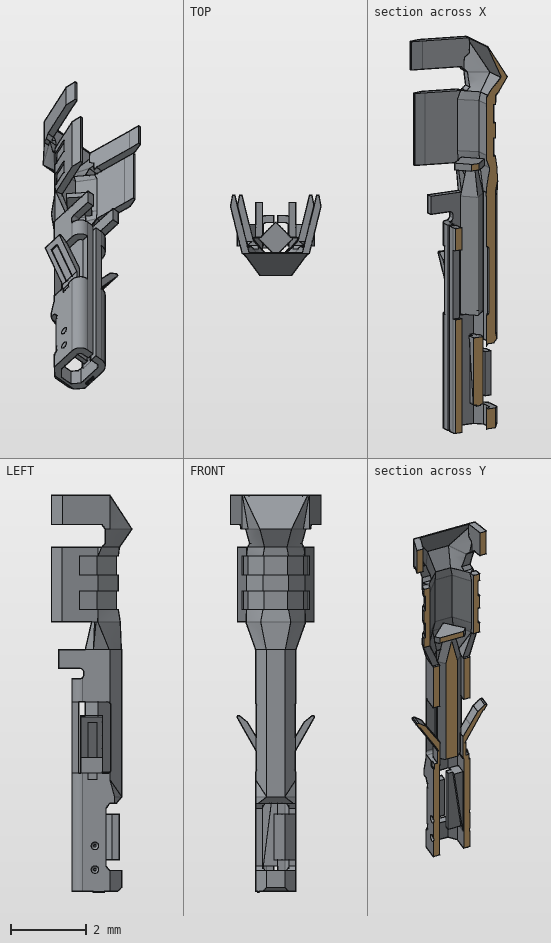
import cadquery as cq
import math

SHEET = 0.19
OVERLAP = 0.02
CUT_HALF = 2.0

Z_BOTTOM = 0.03
Z_RING_TOP = 0.59
Z_TROUGH_END = 2.37
Z_TROUGH_HIGH = 2.54
Z_GUSSET_TOP = 3.0
Z_LEAF_TOP = 2.6
Z_WINDOW_LOW = 3.17
Z_WINDOW_HIGH = 5.06
Z_FLAPS_TOP = 5.68
Z_TAB_LOW = 5.95
Z_BOX_TOP = 6.45
Z_CRIMP_LOW = 7.19
Z_GRIP_LOW = 7.52
Z_GRIP_HIGH = 8.93
Z_CRIMP_HIGH = 9.17
Z_RIDGE = 9.65
Z_FLARE_WING_LOW = 9.77
Z_TOP = 10.55

BOX_HALF = 0.537
BOX_Y = 0.664
BOX_FLAT_HALF = 0.24
BOX_BEND_Y = -0.347
BACK_RADIUS = 0.29
TAB_Y = 1.014
SEAM_GAP = 0.1
INNER_HALF = BOX_HALF - SHEET
CORNER_SHIFT = 0.4

NOTCH_Y = 0.35
NOTCH_FILLET = 0.1
WINDOW_Y = (-0.366, 0.46)
WINDOW_FILLET = 0.08
OPENING_Y = -0.246
OPENING_EDGE_Y = -0.34
OPENING_CHAMFER_LOW = 0.11
OPENING_CHAMFER_HIGH = 0.14
TROUGH_END_Y = -0.52
GUSSET_CORNER_Y = -0.47
LEAD_IN = 0.11

PAD_Z = (0.865, 2.08)
PAD_Y = -0.596
PAD_EDGE_X = -0.04
PAD_ROOT_Y = (-0.28, -0.2)
PAD_INNER_BEND_X = 0.17

BOX_FOLD = [(BOX_HALF, 0.09), (BOX_HALF, -0.326), (0.254, -0.655)]
FUNNEL_TOP_FOLD = [(0.80, 0.02), (0.789, -0.028), (0.40, -0.624)]
CRIMP_LOW_FOLD = FUNNEL_TOP_FOLD[1:]
GRIP_FOLD = [(0.78, -0.028), (0.338, -0.572)]
CRIMP_HIGH_FOLD = [(0.745, -0.13), (0.298, -0.604)]
RIDGE_FOLD = [(0.80, -0.22), (0.42, -0.935)]
TOP_FOLD = [(0.894, -0.347), (0.85, -0.349)]
LIP_THICKNESS = 0.03

WING_TIP_Y = 1.205
WING_SLOPE = 0.248
CONDUCTOR_SHOULDER_Y = 0.93
INSULATION_SHOULDER_Y = 0.906
NECK_BEVEL = 0.1
TIP_HALF_WIDTH = 0.033
TIP_INSET = 0.09

GROOVE_SPANS = [(Z_GRIP_LOW, 8.006), (8.435, Z_GRIP_HIGH)]
GROOVE_DEPTH = 0.045
GROOVE_END_Y = 0.457

LANCE_Y = (-0.147, 0.43)
LANCE_BEND = (-0.42, 3.58)
LANCE_CORNER = (-1.033, 4.66)
LANCE_TIP = [(-0.755, 4.53), (-0.96, 4.695), (-1.01, 4.70)]
LANCE_WALL_Z = 4.165
LANCE_INNER_Z = 3.82
LANCE_ROOT = 0.1
LANCE_GROOVE_Y = (0.0, 0.23)
LANCE_GROOVE_Z = (3.0, 4.51)
LANCE_GROOVE_DEPTH = 0.03

CORE_Y = -0.03
CORE_HALF = 0.34
CORE_TOP_HALF = 0.17
CORE_LOW = 3.2
STOP_Y = 0.04
STOP_HALF = 0.45

LEAF_Y = (-0.2, 0.1)
LEAF_FOOT_X = (-0.48, -0.44)
LEAF_LOW_EDGE = (-0.33, 0.7)
LEAF_HIGH_X = -0.09
BACKING_Y = (-0.12, 0.0)
BACKING_EDGE_X = 0.05

DIMPLE_Y = 0.05
DIMPLE_HEIGHTS = [0.61, 1.24]
DIMPLE_RADIUS = 0.1
DIMPLE_TIP_RADIUS = 0.033
DIMPLE_DEPTH = 0.08


def prism(points, low, high):
    """Extrude an (x, y) outline between two heights."""
    return cq.Workplane("XY").workplane(offset=low).polyline(points).close().extrude(high - low)


def side_prism(points, x_low, x_high):
    """Extrude a (y, z) outline along X."""
    return cq.Workplane("YZ").workplane(offset=x_low).polyline(points).close().extrude(x_high - x_low)


def front_prism(points, y_low, y_high):
    """Extrude an (x, z) outline along Y."""
    return cq.Workplane("XZ").workplane(offset=-y_high).polyline(points).close().extrude(y_high - y_low)


def block(x_span, y_span, z_span):
    (x0, x1), (y0, y1), (z0, z1) = x_span, y_span, z_span
    return cq.Workplane("XY").box(x1 - x0, y1 - y0, z1 - z0, centered=False).translate((x0, y0, z0))


def both_sides(shape):
    return shape.union(shape.mirror("YZ"))


def mirrored(points):
    """Close a right-half path with its mirror image across X = 0."""
    return points + [(-x, y) for x, y in reversed(points)]


def inner_path(path, thickness):
    """Right-half path moved inward by the sheet thickness, with mitred corners."""
    full = path + [(0, path[-1][1])]
    normals = []
    for (x0, y0), (x1, y1) in zip(full, full[1:]):
        length = math.hypot(x1 - x0, y1 - y0)
        normals.append(((y1 - y0) / length, (x0 - x1) / length))
    corners = []
    for index, (x, y) in enumerate(path):
        nx, ny = normals[index]
        px, py = normals[max(index - 1, 0)]
        reach = thickness / (1 + nx * px + ny * py)
        corners.append((x + reach * (nx + px), y + reach * (ny + py)))
    return corners


def fold_outline(path, thickness=SHEET):
    """Closed outline of a folded sheet: outer face, then inner face."""
    inner = mirrored(inner_path(path, thickness))
    return mirrored(path) + inner[::-1]


def folded(low_path, high_path, z_low, z_high, high_thickness=SHEET):
    """Folded sheet that changes evenly from one section to another."""
    base = cq.Workplane("XY").workplane(offset=z_low).polyline(fold_outline(low_path)).close()
    top = base.workplane(offset=z_high - z_low)
    top = top.polyline(fold_outline(high_path, high_thickness)).close()
    return top.loft(ruled=True)


def box_outline(inset):
    """Contact box section: flat front, bevelled front corners, round back corners."""
    half = BOX_HALF - inset
    back = BOX_Y - inset
    radius = BACK_RADIUS - inset
    bevel_shift = CORNER_SHIFT * inset
    outline = cq.Workplane("XY").workplane(offset=Z_BOTTOM)
    return (
        outline.moveTo(BOX_FLAT_HALF - bevel_shift, -back)
        .lineTo(half, BOX_BEND_Y + bevel_shift)
        .lineTo(half, back - radius)
        .radiusArc((half - radius, back), -radius)
        .lineTo(radius - half, back)
        .radiusArc((-half, back - radius), -radius)
        .lineTo(-half, BOX_BEND_Y + bevel_shift)
        .lineTo(bevel_shift - BOX_FLAT_HALF, -back)
        .close()
    )


def make_corner_gussets():
    """Fills that square off the bevelled corners just above the front opening."""
    bevel = [(BOX_FLAT_HALF, -BOX_Y), (BOX_HALF, GUSSET_CORNER_Y), (BOX_HALF, BOX_BEND_Y)]
    straight = prism(bevel, Z_TROUGH_END, Z_TROUGH_HIGH)
    flat_end, square, bend = [cq.Vector(x, y, Z_TROUGH_HIGH) for x, y in bevel]
    apex = cq.Vector(BOX_HALF, BOX_BEND_Y, Z_GUSSET_TOP)
    sides = [
        [flat_end, square, bend],
        [flat_end, square, apex],
        [square, bend, apex],
        [bend, flat_end, apex],
    ]
    faces = [cq.Face.makeFromWires(cq.Wire.makePolygon(side, close=True)) for side in sides]
    peak = cq.Solid.makeSolid(cq.Shell.makeShell(faces))
    return both_sides(straight.union(cq.Workplane(peak)))


def make_box():
    """Contact box with a back seam, two side windows and the open front."""
    height = Z_BOX_TOP - Z_BOTTOM
    box = box_outline(0).extrude(height).cut(box_outline(SHEET).extrude(height))
    wide = (-CUT_HALF, CUT_HALF)
    seam = (-SEAM_GAP / 2, SEAM_GAP / 2)
    back_start = BOX_Y - BACK_RADIUS - OVERLAP
    box = box.cut(block(wide, (back_start, TAB_Y), (Z_FLAPS_TOP, Z_BOX_TOP)))
    box = box.cut(block(seam, (0, BOX_Y), (Z_BOTTOM, Z_BOX_TOP)))

    tab = block((INNER_HALF, BOX_HALF), (back_start - SHEET, TAB_Y), (Z_FLAPS_TOP, Z_BOX_TOP))
    notch = block(wide, (NOTCH_Y, TAB_Y + NOTCH_FILLET), (Z_FLAPS_TOP, Z_TAB_LOW))
    box = box.union(both_sides(tab)).cut(notch.edges("|X and <Y").fillet(NOTCH_FILLET))

    window_z = (Z_WINDOW_LOW, Z_WINDOW_HIGH)
    box = box.cut(block(wide, WINDOW_Y, window_z).edges("|X and <Y").fillet(WINDOW_FILLET))
    corner_x = (BOX_HALF - BACK_RADIUS, BOX_HALF + OVERLAP)
    back_corner = block(corner_x, (back_start, BOX_Y + OVERLAP), window_z)
    box = box.cut(both_sides(back_corner)).union(make_corner_gussets())
    return box.cut(make_front_opening()).cut(make_lead_in())


def make_front_opening():
    """Cut across the front of the box, with a bevelled lip above it."""
    outside_y = -BOX_Y - OVERLAP
    outline = [
        (outside_y, Z_RING_TOP),
        (OPENING_EDGE_Y, Z_RING_TOP),
        (OPENING_Y, Z_RING_TOP + OPENING_CHAMFER_LOW),
        (OPENING_Y, Z_TROUGH_END - OPENING_CHAMFER_HIGH),
        (OPENING_EDGE_Y, Z_TROUGH_END),
        (TROUGH_END_Y, Z_TROUGH_END),
        (-BOX_Y, Z_TROUGH_HIGH),
        (outside_y, Z_TROUGH_HIGH),
    ]
    return side_prism(outline, -CUT_HALF, CUT_HALF)


def make_lead_in():
    """Bevel on the front bottom edge of the box."""
    outline = [(-BOX_Y, Z_BOTTOM), (LEAD_IN - BOX_Y, Z_BOTTOM), (-BOX_Y, Z_BOTTOM + LEAD_IN)]
    return side_prism(outline, -CUT_HALF, CUT_HALF)


def make_front_pad():
    """Tongue folded from the right wall across the front opening."""
    root_front, root_back = PAD_ROOT_Y
    outline = [
        (PAD_EDGE_X, PAD_Y),
        (BOX_FLAT_HALF, PAD_Y),
        (BOX_HALF, root_front),
        (BOX_HALF, root_back),
        (INNER_HALF, root_back),
        (PAD_INNER_BEND_X, PAD_Y + SHEET),
        (PAD_EDGE_X, PAD_Y + SHEET),
    ]
    return prism(outline, *PAD_Z)


def make_lances():
    """Locking lances that spring out of the windows."""
    bend_x = LANCE_BEND[0]
    inner_x = OVERLAP - INNER_HALF
    outline = [
        LANCE_CORNER,
        LANCE_BEND,
        (bend_x, Z_WINDOW_LOW - LANCE_ROOT),
        (inner_x, Z_WINDOW_LOW - LANCE_ROOT),
        (inner_x, LANCE_INNER_Z),
        (-BOX_HALF, LANCE_WALL_Z),
    ]
    return both_sides(front_prism(outline + LANCE_TIP, *LANCE_Y))


def make_lance_grooves():
    """Narrow stiffening groove on each lance, running on into the wall below it."""
    z_low, z_high = LANCE_GROOVE_Z
    wall = block(
        (-BOX_HALF - OVERLAP, -BOX_HALF + LANCE_GROOVE_DEPTH), LANCE_GROOVE_Y, (z_low, Z_WINDOW_LOW)
    )
    lance_x, lance_z = LANCE_BEND
    corner_x, corner_z = LANCE_CORNER
    run = (corner_x - lance_x) / (corner_z - lance_z)
    high_x = lance_x + run * (z_high - lance_z)
    face = [
        (lance_x + LANCE_GROOVE_DEPTH, lance_z),
        (high_x + LANCE_GROOVE_DEPTH, z_high),
        (high_x - LANCE_GROOVE_DEPTH, z_high),
        (lance_x - LANCE_GROOVE_DEPTH, lance_z),
    ]
    return both_sides(wall.union(front_prism(face, *LANCE_GROOVE_Y)))


def make_dimples():
    """Conical dimples in both side walls."""
    dimples = cq.Workplane("XY")
    for height in DIMPLE_HEIGHTS:
        cone = cq.Solid.makeCone(
            DIMPLE_RADIUS,
            DIMPLE_TIP_RADIUS,
            DIMPLE_DEPTH,
            cq.Vector(-BOX_HALF, DIMPLE_Y, height),
            cq.Vector(1, 0, 0),
        )
        dimples = dimples.add(both_sides(cq.Workplane(cone)).vals())
    return dimples.combine()


def wing(root, shoulder_y, z_low, z_high):
    """Pair of slanted crimp wings with pointed tips, rising from the given outer root."""
    root_x, root_y = root
    shoulder_x = root_x + WING_SLOPE * (shoulder_y - root_y)
    tip_x = shoulder_x - TIP_INSET
    outline = [
        root,
        (shoulder_x, shoulder_y),
        (tip_x + TIP_HALF_WIDTH, WING_TIP_Y),
        (tip_x - TIP_HALF_WIDTH, WING_TIP_Y),
        (shoulder_x - SHEET, shoulder_y),
        (root_x - SHEET, root_y),
    ]
    return both_sides(prism(outline, z_low, z_high))


def make_barrel():
    """Funnel, conductor crimp, neck and flare, section by section."""
    barrel = folded(BOX_FOLD, FUNNEL_TOP_FOLD, Z_BOX_TOP, Z_CRIMP_LOW)
    sections = [
        (Z_CRIMP_LOW, CRIMP_LOW_FOLD),
        (Z_GRIP_LOW, GRIP_FOLD),
        (Z_GRIP_HIGH, GRIP_FOLD),
        (Z_CRIMP_HIGH, CRIMP_HIGH_FOLD),
        (Z_RIDGE, RIDGE_FOLD),
    ]
    for (z_low, low), (z_high, high) in zip(sections, sections[1:]):
        barrel = barrel.union(folded(low, high, z_low, z_high))
    return barrel.union(folded(RIDGE_FOLD, TOP_FOLD, Z_RIDGE, Z_TOP, LIP_THICKNESS))


def make_wings():
    """Conductor wings on the crimp and insulation wings on the flare."""
    conductor = wing(GRIP_FOLD[0], CONDUCTOR_SHOULDER_Y, Z_CRIMP_LOW, Z_CRIMP_HIGH)
    insulation = wing(TOP_FOLD[0], INSULATION_SHOULDER_Y, Z_RIDGE, Z_TOP)
    return conductor.union(insulation)


def make_neck_relief():
    """Gap between the conductor wings and the insulation wings, with bevelled corners."""
    corner_y = CRIMP_HIGH_FOLD[0][1]
    floor_y = RIDGE_FOLD[0][1]
    outline = [
        (WING_TIP_Y + OVERLAP, Z_CRIMP_HIGH),
        (corner_y, Z_CRIMP_HIGH),
        (floor_y, Z_CRIMP_HIGH + NECK_BEVEL),
        (floor_y, Z_RIDGE),
        (corner_y, Z_FLARE_WING_LOW),
        (WING_TIP_Y + OVERLAP, Z_FLARE_WING_LOW),
    ]
    return side_prism(outline, -CUT_HALF, CUT_HALF)


def make_grip_grooves():
    """Shallow bands pressed into the outside of the conductor crimp."""
    (bend_x, bend_y), floor_corner = GRIP_FOLD
    end = (bend_x + WING_SLOPE * (GROOVE_END_Y - bend_y), GROOVE_END_Y)
    path = [end, (bend_x, bend_y), floor_corner]
    band = mirrored(inner_path(path, -GROOVE_DEPTH)) + mirrored(inner_path(path, GROOVE_DEPTH))[::-1]
    grooves = cq.Workplane("XY")
    for low, high in GROOVE_SPANS:
        grooves = grooves.union(prism(band, low, high))
    return grooves


def diamond(half, centre_y):
    return [(half, centre_y), (0, centre_y + half), (-half, centre_y), (0, centre_y - half)]


def make_core():
    """Diamond bar in the box, tapered up to a diamond wire stop resting on the crimp floor."""
    bar = prism(diamond(CORE_HALF, CORE_Y), CORE_LOW, Z_BOX_TOP)
    base = cq.Workplane("XY").workplane(offset=Z_BOX_TOP).polyline(diamond(CORE_HALF, CORE_Y)).close()
    rise = Z_CRIMP_LOW - Z_BOX_TOP
    taper = base.workplane(offset=rise).polyline(diamond(CORE_TOP_HALF, CORE_Y)).close().loft(ruled=True)
    stop = prism(diamond(STOP_HALF, STOP_Y), Z_CRIMP_LOW, Z_CRIMP_LOW + SHEET)
    return bar.union(taper).union(stop)


def make_contact_leaf():
    """Tapered leaf whose foot ends just below the box, with a plain backing plate."""
    wall_x = -INNER_HALF - OVERLAP
    foot_left, foot_right = LEAF_FOOT_X
    low_z = LEAF_LOW_EDGE[1]
    outline = [
        (foot_left, 0),
        (foot_right, 0),
        LEAF_LOW_EDGE,
        (LEAF_HIGH_X, Z_LEAF_TOP),
        (wall_x, Z_LEAF_TOP),
        (wall_x, low_z),
    ]
    backing = block((wall_x, BACKING_EDGE_X), BACKING_Y, (low_z, Z_LEAF_TOP))
    return front_prism(outline, *LEAF_Y).union(backing)


result = (
    make_box()
    .union(make_front_pad())
    .union(make_lances())
    .cut(make_lance_grooves())
    .cut(make_dimples())
    .union(make_barrel())
    .union(make_wings())
    .cut(make_neck_relief())
    .cut(make_grip_grooves())
    .union(make_core())
    .union(make_contact_leaf())
)